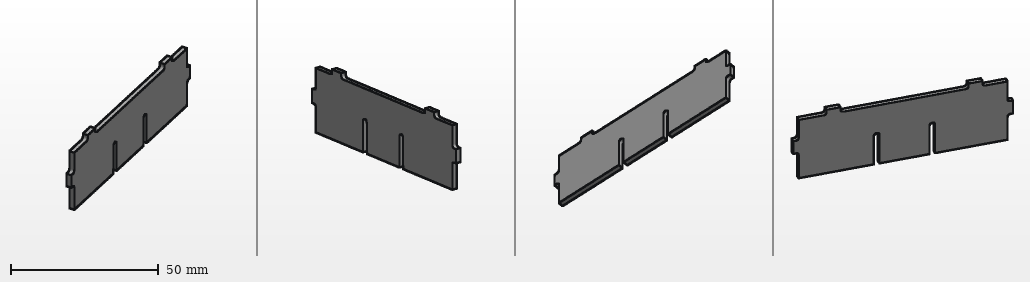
import cadquery as cq

thickness = 2.0
length = 79.0
height = 25.1

tab_height = thickness
tab_width = 5.05
tab_root_radius = 1.0
side_tab_z = 12.6

pattern_center_y = -0.5
top_tab_spacing = 51.0
slot_spacing = 20.0
slot_width = 2.05
slot_depth = 12.2

body_length = length - 2 * tab_height
body_height = height - tab_height


def block(y_size, z_size, y_center, z_bottom):
    """Full-thickness block, centred in X and standing on z_bottom."""
    return (
        cq.Workplane("XY")
        .box(thickness, y_size, z_size, centered=(True, True, False))
        .translate((0, y_center, z_bottom))
    )


def pair_positions(spacing):
    """Y positions of two features placed about the pattern centre."""
    return [pattern_center_y + side * spacing / 2 for side in (-1, 1)]


def slot(y_center):
    """Round-ended slot cutter, open at the bottom edge."""
    radius = slot_width / 2
    shank_height = slot_depth - radius
    shank = block(slot_width, shank_height, y_center, 0)
    round_end = (
        cq.Workplane("YZ")
        .center(y_center, shank_height)
        .circle(radius)
        .extrude(thickness / 2, both=True)
    )
    return shank.union(round_end)


result = block(body_length, body_height, 0, 0)
result = result.union(block(length, tab_width, 0, side_tab_z - tab_width / 2))

for tab_y in pair_positions(top_tab_spacing):
    result = result.union(block(tab_width, tab_height, tab_y, body_height))

root_points = [
    (0, end * body_length / 2, side_tab_z + edge * tab_width / 2)
    for end in (-1, 1)
    for edge in (-1, 1)
] + [
    (0, tab_y + edge * tab_width / 2, body_height)
    for tab_y in pair_positions(top_tab_spacing)
    for edge in (-1, 1)
]
root_edges = cq.Workplane("XY")
for point in root_points:
    root_edges = root_edges.add(result.edges("|X").edges(cq.NearestToPointSelector(point)))
result = result.newObject(root_edges.vals()).fillet(tab_root_radius)

for slot_y in pair_positions(slot_spacing):
    result = result.cut(slot(slot_y))